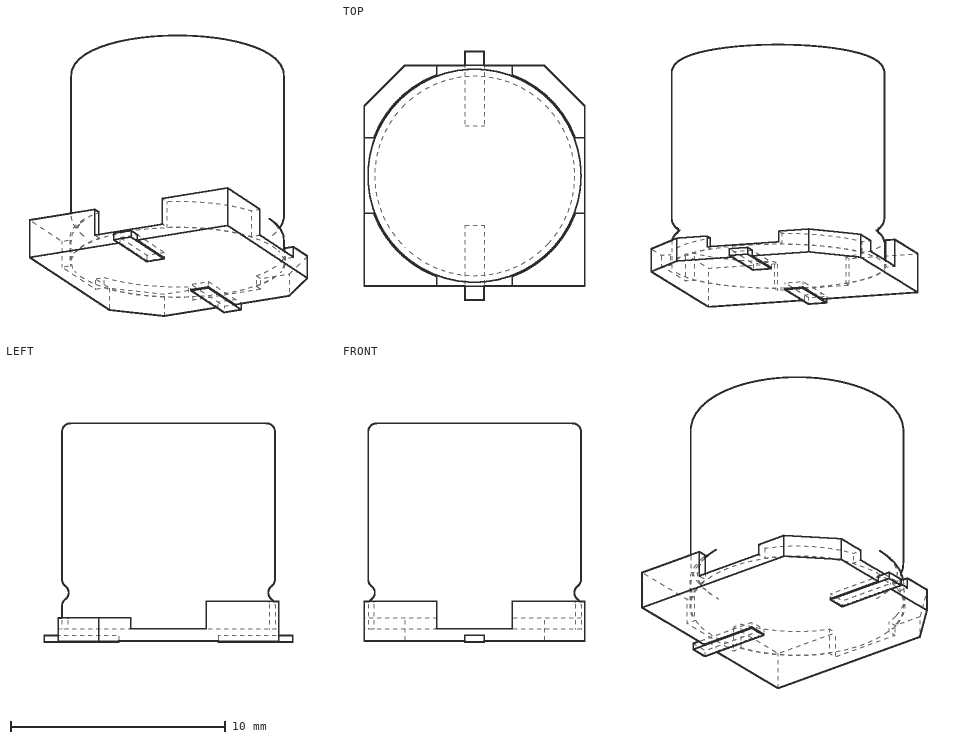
import cadquery as cq
import math

total_height = 10.21
base_width = 10.3
lead_span = 11.6

can_radius = 4.97
can_top_round = 0.4
groove_depth = 0.31
groove_center_z = 2.31
groove_half_height = 0.61

base_bottom_z = 0.05
base_top_z = 1.9
low_corner_top_z = 1.14
seat_z = 0.63
seat_clearance = 0.05
window_width = 3.52
corner_chamfer = 1.9

lead_width = 0.9
lead_length = 3.48
lead_thickness = 0.32


def box(x_size, y_size, bottom_z, top_z, center_y=0.0):
    """Upright block centred on X, between two heights."""
    return (
        cq.Workplane("XY", origin=(0, center_y, bottom_z))
        .rect(x_size, y_size)
        .extrude(top_z - bottom_z)
    )


def make_lead(side):
    """Flat lead that runs out under one Y side of the base; side is -1 or +1."""
    center_y = side * (lead_span - lead_length) / 2
    return box(lead_width, lead_length, 0.0, lead_thickness, center_y)


def make_base():
    """Square plate with two cut corners, low rear corners, windows and the can's seat."""
    base = (
        box(base_width, base_width, base_bottom_z, base_top_z)
        .edges("|Z and >Y")
        .chamfer(corner_chamfer)
    )

    rear_depth = base_width / 2
    base = base.cut(box(base_width, rear_depth, low_corner_top_z, base_top_z, rear_depth / 2))

    seat_radius = can_radius + seat_clearance
    seat = cq.Workplane("XY", origin=(0, 0, seat_z)).circle(seat_radius).extrude(base_top_z - seat_z)
    base = base.cut(seat)

    base = base.cut(box(window_width, base_width, seat_z, base_top_z))
    return base.cut(box(base_width, window_width, seat_z, base_top_z))


def make_can():
    """Round can with a rolled groove near its foot and a rounded top rim."""
    groove_arc = (groove_half_height**2 + groove_depth**2) / (4 * groove_depth)
    lip_angle = math.asin(groove_half_height / (2 * groove_arc))
    lip_center_r = can_radius - groove_arc
    joint_r = can_radius - groove_depth / 2
    joint_offset = groove_half_height / 2
    lip_mid_r = lip_center_r + groove_arc * math.cos(lip_angle / 2)
    lip_mid_offset = groove_half_height - groove_arc * math.sin(lip_angle / 2)

    rim_mid_inset = can_top_round * (1 - math.sqrt(0.5))
    profile = (
        cq.Workplane("XZ")
        .moveTo(0, seat_z)
        .lineTo(can_radius, seat_z)
        .lineTo(can_radius, groove_center_z - groove_half_height)
        .threePointArc(
            (lip_mid_r, groove_center_z - lip_mid_offset),
            (joint_r, groove_center_z - joint_offset),
        )
        .threePointArc(
            (can_radius - groove_depth, groove_center_z),
            (joint_r, groove_center_z + joint_offset),
        )
        .threePointArc(
            (lip_mid_r, groove_center_z + lip_mid_offset),
            (can_radius, groove_center_z + groove_half_height),
        )
        .lineTo(can_radius, total_height - can_top_round)
        .threePointArc(
            (can_radius - rim_mid_inset, total_height - rim_mid_inset),
            (can_radius - can_top_round, total_height),
        )
        .lineTo(0, total_height)
        .close()
    )
    return profile.revolve(360, (0, 0, 0), (0, 1, 0))


def make_body(leads):
    """Can and base as one solid, joined at the seat floor, with recesses that fit the leads."""
    body = make_base().union(make_can())
    for lead in leads:
        body = body.cut(lead)
    return body


leads = [make_lead(side) for side in (-1, 1)]
body = make_body(leads)

result = cq.Compound.makeCompound([body.val(), *[lead.val() for lead in leads]])